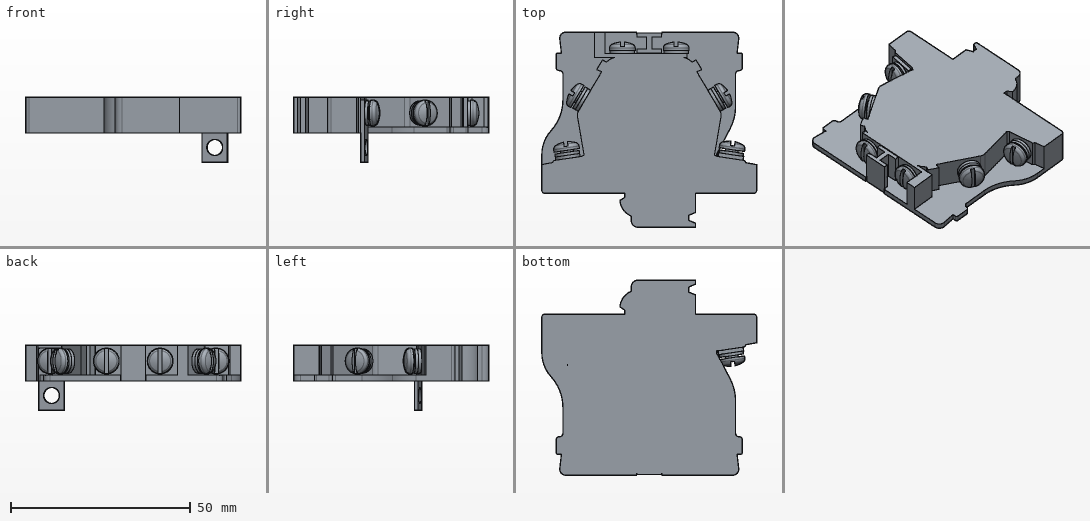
import cadquery as cq
import math

plate_thickness = 1.7
housing_height = 10.0

top_y = 54.5
base_y = 9.5
half_width = 30.0
base_corner_radius = 0.9

plate_top_half_width = 25.2
plate_top_corner_radius = 1.75
neck_half_width = 24.55
bump_half_width = 26.0
bump_top_y = 48.6
bump_bottom_y = 43.7
bump_top_radius = 0.5
bump_bottom_radius = 0.9
side_half_width = 24.1
left_curve_top = (-side_half_width, 35.45)
left_curve_bottom = (-half_width, 20.3)
left_curve_turn = 0.56
left_curve_middle = tuple(
    top + left_curve_turn * (bottom - top) for top, bottom in zip(left_curve_top, left_curve_bottom)
)
right_curve_top = (side_half_width, 33.6)
right_curve_bottom = (22.55, 27.5)
plate_foot_y = 20.4
notch_half_width = 3.55
notch_depth = 0.5

ledge_tilt = 8.5
ledge_inner = (18.85, 19.8)
ledge_outer_x = 26.6
ledge_outer_y = ledge_inner[1] - (ledge_outer_x - ledge_inner[0]) * math.tan(math.radians(ledge_tilt))
shoulder_x = 27.0
shoulder_y = 18.05
shoulder_end_y = 17.5
wall_foot = (18.2, 20.15)
wall_corner = (20.15, 31.75)
wall_corner_radius = 2.4
wall_top = (13.25, 43.45)
block_top_x = 9.7
block_top_y = 47.35
lug_points = [(14.65, 44.0), (13.0, 46.75), (12.0, 46.1), (10.6, 47.1)]

foot_left_x = -6.85
foot_lip = (-8.2, 7.5)
foot_lip_top_y = 8.4
foot_arc_middle = (-7.15, 4.75)
foot_arc_end = (-5.05, 3.1)
foot_corner_radius = 1.9
foot_right_x = 12.95
foot_notch_x = 11.05
foot_notch_levels = [1.15, 2.0, 3.35, 4.15]

strip_top_y = 48.5
strip_left_x = -15.3
strip_right_x = 10.55
leg_right_x = -12.35

rib_half_width = 3.5
rib_bottom_y = 48.65
rib_top_y = 54.25
rib_flange_thickness = 1.15
rib_web_thickness = 1.45

screw_z = 5.6
head_radius = 3.6
head_band_height = 0.7
head_height = 2.4
dome_edge_radius = 2.95
dome_edge_height = 1.75
dome_shoulder = (3.45, 1.2)
dome_crown = (1.5, 2.2)
slot_width = 1.1
slot_depth = 1.25
neck_radius = 1.8
neck_height = 0.55
washer_radius = 3.4
washer_thickness = 0.85
seat_height = 0.9
seat_root = 0.3
top_screw_x = 7.5
wall_screw = (18.1, 35.35)
ledge_screw_x = 22.7
ledge_screw_y = ledge_inner[1] - (ledge_screw_x - ledge_inner[0]) * math.tan(math.radians(ledge_tilt))
wall_tilt = math.degrees(math.atan2(wall_top[1] - wall_corner[1], wall_corner[0] - wall_top[0]))

seat_places = [
    (-wall_screw[0], wall_screw[1], wall_tilt),
    (wall_screw[0], wall_screw[1], -wall_tilt),
    (-ledge_screw_x, ledge_screw_y, ledge_tilt),
]
tab_place = (ledge_screw_x, ledge_screw_y, -ledge_tilt)

tab_width = 7.15
tab_thickness = 1.1
tab_bottom_z = -8.15
tab_top_z = screw_z + tab_width / 2
tab_hole_radius = 2.2
tab_hole_z = -4.0


def mirrored(points):
    """The same points on the other side of the YZ plane, in reverse order."""
    return [(-x, y) for x, y in reversed(points)]


def round_corners(body, points, radius):
    """Fillets the upright edges that stand at the given XY points."""
    for x, y in points:
        body = body.edges("|Z").edges(cq.selectors.NearestToPointSelector((x, y, 0))).fillet(radius)
    return body


def both_sides(x, y):
    return [(x, y), (-x, y)]


def place_on_housing(body, x, y, tilt):
    """Turns a body built along +Y by tilt degrees about Z and moves it to (x, y)."""
    return body.rotate((0, 0, 0), (0, 0, 1), tilt).translate((x, y, 0))


def raised(x, y, tilt, height):
    """The same place moved outward from its tilted face by the given height."""
    angle = math.radians(tilt)
    return x - height * math.sin(angle), y + height * math.cos(angle), tilt


def make_side_plate():
    right_edge = [
        (side_half_width, bump_bottom_y),
        (bump_half_width, bump_bottom_y),
        (bump_half_width, bump_top_y),
        (neck_half_width, bump_top_y),
        (plate_top_half_width, top_y),
    ]
    plate = (
        cq.Workplane("XY")
        .moveTo(-half_width, base_y)
        .lineTo(ledge_inner[0], base_y)
        .lineTo(ledge_inner[0], plate_foot_y)
        .lineTo(*right_curve_bottom)
        .tangentArcPoint(right_curve_top, relative=False)
        .polyline(right_edge + mirrored(right_edge), includeCurrent=True)
        .lineTo(*left_curve_top)
        .tangentArcPoint(left_curve_middle, relative=False)
        .tangentArcPoint(left_curve_bottom, relative=False)
        .close()
        .extrude(plate_thickness)
    )
    plate = round_corners(plate, both_sides(plate_top_half_width, top_y), plate_top_corner_radius)
    plate = round_corners(plate, both_sides(bump_half_width, bump_top_y), bump_top_radius)
    plate = round_corners(plate, both_sides(bump_half_width, bump_bottom_y), bump_bottom_radius)
    plate = round_corners(plate, both_sides(side_half_width, bump_bottom_y), bump_bottom_radius)
    plate = round_corners(plate, [(-half_width, base_y)], base_corner_radius)
    notch = (
        cq.Workplane("XY")
        .rect(2 * notch_half_width, 2 * notch_depth)
        .extrude(plate_thickness)
        .translate((0, top_y, 0))
    )
    return plate.cut(notch)


def make_terminal_block():
    right_edge = [
        (half_width, base_y),
        (half_width, shoulder_end_y),
        (shoulder_x, shoulder_y),
        (ledge_outer_x, ledge_outer_y),
        ledge_inner,
        wall_foot,
        wall_corner,
        wall_top,
        *lug_points,
        (block_top_x, block_top_y),
    ]
    block = cq.Workplane("XY").polyline(right_edge + mirrored(right_edge)).close().extrude(housing_height)
    block = round_corners(block, both_sides(half_width, base_y), base_corner_radius)
    return round_corners(block, both_sides(*wall_corner), wall_corner_radius)


def make_rail_foot():
    notch_bottom, notch_inner_bottom, notch_inner_top, notch_top = foot_notch_levels
    foot = (
        cq.Workplane("XY")
        .moveTo(foot_left_x, base_y)
        .lineTo(foot_left_x, foot_lip_top_y)
        .lineTo(*foot_lip)
        .threePointArc(foot_arc_middle, foot_arc_end)
        .lineTo(foot_arc_end[0], 0)
        .lineTo(foot_right_x, 0)
        .lineTo(foot_right_x, notch_bottom)
        .lineTo(foot_notch_x, notch_inner_bottom)
        .lineTo(foot_notch_x, notch_inner_top)
        .lineTo(foot_right_x, notch_top)
        .lineTo(foot_right_x, base_y)
        .close()
        .extrude(housing_height)
    )
    return round_corners(foot, [(foot_arc_end[0], 0)], foot_corner_radius)


def make_angle_strip():
    outline = [
        (strip_right_x, block_top_y),
        (strip_right_x, strip_top_y),
        (leg_right_x, strip_top_y),
        (leg_right_x, top_y),
        (strip_left_x, top_y),
        (strip_left_x, block_top_y),
    ]
    return cq.Workplane("XY").polyline(outline).close().extrude(housing_height)


def make_rib():
    rib_height = rib_top_y - rib_bottom_y
    web_height = rib_height - 2 * rib_flange_thickness
    side_gap = rib_half_width - rib_web_thickness / 2
    gap_center_x = (rib_half_width + rib_web_thickness / 2) / 2
    rib = cq.Workplane("XY").rect(2 * rib_half_width, rib_height).extrude(housing_height)
    gaps = (
        cq.Workplane("XY")
        .pushPoints(both_sides(gap_center_x, 0))
        .rect(side_gap, web_height)
        .extrude(housing_height)
    )
    return rib.cut(gaps).translate((0, (rib_bottom_y + rib_top_y) / 2, 0))


def make_seat(x, y, tilt):
    """A round boss under a screw washer; its root sinks into the block to join it."""
    seat = cq.Workplane("XZ", origin=(0, -seat_root, screw_z)).circle(washer_radius)
    return place_on_housing(seat.extrude(-seat_height - seat_root), x, y, tilt)


def make_housing():
    housing = make_side_plate()
    for portion in (make_terminal_block(), make_rail_foot(), make_angle_strip(), make_rib()):
        housing = housing.union(portion)
    for x, y, tilt in seat_places:
        housing = housing.union(make_seat(x, y, tilt))
    return housing


def make_screw(neck):
    """A slotted screw standing on the origin along +Y, with its captive washer.

    A neck length of zero leaves the head seated on the washer.
    """
    head_y = washer_thickness + neck
    profile = cq.Workplane("XY").lineTo(washer_radius, 0).lineTo(washer_radius, washer_thickness)
    if neck > 0:
        profile = profile.lineTo(neck_radius, washer_thickness).lineTo(neck_radius, head_y)
    screw = (
        profile.lineTo(head_radius, head_y)
        .lineTo(head_radius, head_y + head_band_height)
        .threePointArc(
            (dome_shoulder[0], head_y + dome_shoulder[1]),
            (dome_edge_radius, head_y + dome_edge_height),
        )
        .threePointArc((dome_crown[0], head_y + dome_crown[1]), (0, head_y + head_height))
        .close()
        .revolve(360, (0, 0, 0), (0, 1, 0))
    )
    slot = cq.Workplane("XY").box(slot_width, 2 * slot_depth, 2 * head_radius)
    return screw.cut(slot.translate((0, head_y + head_height, 0)))


def make_tab():
    tab = (
        cq.Workplane("XY")
        .box(tab_width, tab_thickness, tab_top_z - tab_bottom_z, centered=(True, False, False))
        .translate((0, 0, tab_bottom_z))
    )
    hole = (
        cq.Workplane("XZ")
        .center(0, tab_hole_z)
        .circle(tab_hole_radius)
        .extrude(-tab_thickness)
    )
    return place_on_housing(tab.cut(hole), *tab_place)


def make_screws():
    """Two screws stand on the strip, three on the housing seats and one on the tab."""
    strip_places = [(x, strip_top_y, 0) for x in (-top_screw_x, top_screw_x)]
    raised_places = [raised(*place, seat_height) for place in seat_places]
    raised_places.append(raised(*tab_place, tab_thickness))
    screws = [place_on_housing(make_screw(neck=0), *place) for place in strip_places]
    screws += [place_on_housing(make_screw(neck_height), *place) for place in raised_places]
    return [screw.translate((0, 0, screw_z)) for screw in screws]


housing = make_housing()
tab = make_tab()
screws = make_screws()

result = cq.Compound.makeCompound([housing.val(), tab.val(), *[screw.val() for screw in screws]])